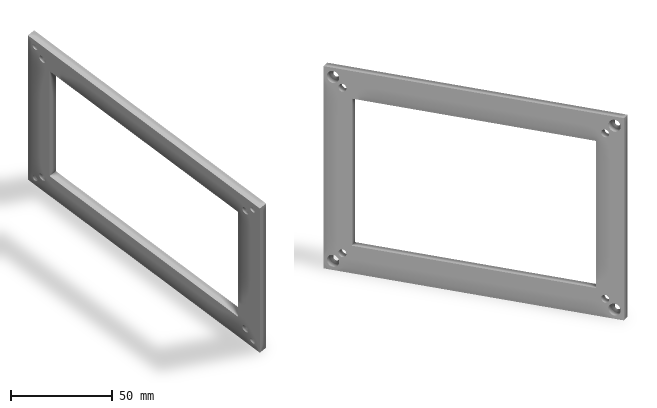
import cadquery as cq

WIDTH = 160.0
HEIGHT = 110.0
THICKNESS = 4.5

BORDER = 15.0

OUTER_HOLE_DIAMETER = 3.4
OUTER_HOLE_INSET = 5.0
INNER_HOLE_DIAMETER = 4.25
INNER_HOLE_INSET = 10.0

COUNTERBORE_DIAMETER = 6.5
COUNTERBORE_FLOOR = 1.0
COUNTERBORE_DEPTH = THICKNESS - COUNTERBORE_FLOOR


def block(width, height):
    """Centred rectangular block spanning the plate thickness."""
    return cq.Workplane("XY").box(width, THICKNESS, height)


def corner_pins(diameter, inset, depth=THICKNESS):
    """Four cylinders running in from the +Y face, inset equally from both edges of each corner."""
    return (
        cq.Workplane("XZ", origin=(0, THICKNESS / 2, 0))
        .rect(WIDTH - 2 * inset, HEIGHT - 2 * inset, forConstruction=True)
        .vertices()
        .circle(diameter / 2)
        .extrude(depth)
    )


plate = block(WIDTH, HEIGHT)
window = block(WIDTH - 2 * BORDER, HEIGHT - 2 * BORDER)
outer_holes = corner_pins(OUTER_HOLE_DIAMETER, OUTER_HOLE_INSET)
counterbores = corner_pins(COUNTERBORE_DIAMETER, OUTER_HOLE_INSET, COUNTERBORE_DEPTH)
inner_holes = corner_pins(INNER_HOLE_DIAMETER, INNER_HOLE_INSET)

result = plate.cut(window).cut(outer_holes).cut(counterbores).cut(inner_holes)